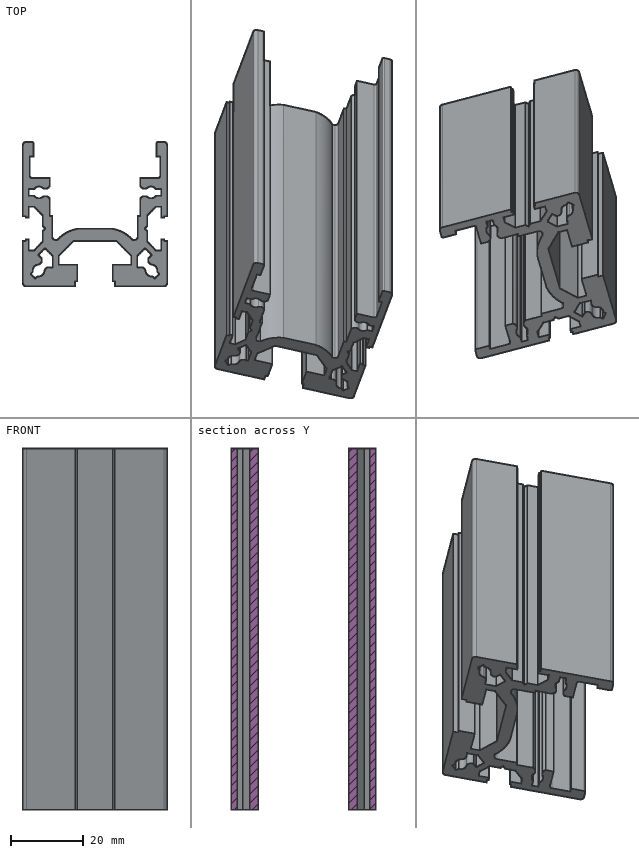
import cadquery as cq
import math

size = 40.0
length = 100.0
half = size / 2
outer_radius = 1.0

lip_width = 3.0
lip_bottom = 35.9
lip_radius = 0.5
arm_wall = 2.0
ledge_height = 30.0
ledge_fillet = 0.6
ledge_width = 7.5
step_height = 19.5
channel_wall = 8.2
channel_floor = 12.9
gutter_radius = 0.8
gutter_end = 10.4
arch_shoulder = 7.7
arch_shoulder_height = 15.0
arch_flat = 4.7
arch_top = 16.0

mouth_half = 5.5
mouth_depth = 1.4
throat_half = 4.9
flange_thickness = 6.0
slot_half = 10.0
slot_shoulder = 8.5
slot_chamfer = 4.0

side_center = 16.0
side_mouth_half = 3.4
side_mouth_depth = 0.8
side_throat_half = 3.0
side_lip = 1.7
side_half = 6.0
side_straight_half = 3.6
side_taper_start = 3.2
side_depth = 5.5
notch_depth = 0.7

port_radius = 1.6
relief_half = 0.9
neck_half = 1.0
nub_start = 0.9
neck_x = 1.7
mouth_width = 3.6
upper_port_x = 4.5
port_mouth = ledge_width - upper_port_x
upper_port_height = 26.0
upper_relief = 2.8
corner_port_offset = 4.4
corner_relief = 2.2

pocket_length = 2.6
pocket_half = 3.1
pocket_wall = 8.3
pocket_floor = 5.3


def prism(points):
    """Full-length prism over a closed outline given as (X, height) points."""
    return cq.Workplane("XY").polyline(points).close().extrude(length).translate((0, -half, 0))


def symmetric_prism(right_points):
    """Prism over an outline given by its +X half."""
    left_points = [(-x, height) for x, height in reversed(right_points)]
    return prism(right_points + left_points)


def from_left_face(points):
    """Move outlines whose first coordinate is the distance inward from the -X face."""
    return [(depth - half, height) for depth, height in points]


def rounded_bar():
    bar = cq.Workplane("XY").rect(size, size).extrude(length)
    return bar.edges("|Z").fillet(outer_radius)


def round_lips(body):
    """Round the inner top corner of each arm."""
    for x in (lip_width - half, half - lip_width):
        edge = cq.selectors.NearestToPointSelector((x, half, length / 2))
        body = body.edges(edge).fillet(lip_radius)
    return body


def channel():
    wall = half - channel_wall
    ledge = half - ledge_width
    outline = (
        cq.Workplane("XY")
        .moveTo(-arch_flat, arch_top)
        .lineTo(arch_flat, arch_top)
        .threePointArc((arch_shoulder, arch_shoulder_height), (gutter_end, channel_floor))
        .lineTo(wall - gutter_radius, channel_floor)
        .radiusArc((wall, channel_floor + gutter_radius), -gutter_radius)
    )
    right_wall = [
        (wall, step_height),
        (ledge, step_height),
        (ledge, ledge_height),
        (half - arm_wall, ledge_height),
        (half - arm_wall, lip_bottom),
        (half - lip_width, lip_bottom),
        (half - lip_width, size),
    ]
    for point in right_wall:
        outline = outline.lineTo(*point)
    for x, height in reversed(right_wall):
        outline = outline.lineTo(-x, height)
    solid = (
        outline.lineTo(-wall, channel_floor + gutter_radius)
        .radiusArc((gutter_radius - wall, channel_floor), -gutter_radius)
        .lineTo(-gutter_end, channel_floor)
        .threePointArc((-arch_shoulder, arch_shoulder_height), (-arch_flat, arch_top))
        .close()
        .extrude(length)
        .translate((0, -half, 0))
    )
    ledge_corners = [(x, ledge_height - half, length / 2) for x in (arm_wall - half, half - arm_wall)]
    for corner in ledge_corners:
        edge = cq.selectors.NearestToPointSelector(corner)
        solid = solid.edges(edge).fillet(ledge_fillet)
    return solid


def bottom_slot():
    return symmetric_prism([
        (mouth_half, 0),
        (mouth_half, mouth_depth),
        (throat_half, mouth_depth),
        (throat_half, flange_thickness),
        (slot_half, flange_thickness),
        (slot_half, slot_shoulder),
        (slot_half - slot_chamfer, slot_shoulder + slot_chamfer),
    ])


def side_slot():
    upper = [
        (0, side_mouth_half),
        (side_mouth_depth, side_mouth_half),
        (side_mouth_depth, side_throat_half),
        (side_lip, side_throat_half),
        (side_lip, side_half),
        (side_taper_start, side_half),
        (side_depth, side_straight_half),
        (side_depth, notch_depth),
        (side_depth + notch_depth, 0),
    ]
    lower = [(depth, -offset) for depth, offset in reversed(upper[:-1])]
    return prism(from_left_face([(depth, side_center + offset) for depth, offset in upper + lower]))


def screw_port(relief):
    """Port centred on the origin, opening toward +X between two rounded nubs."""
    hole = cq.Workplane("XY").circle(port_radius).extrude(length)
    nub_half = math.sqrt(port_radius**2 - nub_start**2)
    neck = (
        cq.Workplane("XY")
        .moveTo(-relief, relief_half)
        .lineTo(0, relief_half)
        .lineTo(nub_start, nub_half)
        .threePointArc((neck_x, neck_half), (port_mouth, mouth_width / 2))
        .lineTo(port_mouth, -mouth_width / 2)
        .threePointArc((neck_x, -neck_half), (nub_start, -nub_half))
        .lineTo(0, -relief_half)
        .lineTo(-relief, -relief_half)
        .close()
        .extrude(length)
    )
    return hole.union(neck)


def upper_port():
    return screw_port(upper_relief).translate((upper_port_x - half, upper_port_height - half, 0))


def place_at_corner(body):
    """Turn a body onto the section diagonal and move it to the -X, -Y corner."""
    offset = corner_port_offset - half
    return body.rotate((0, 0, 0), (0, 0, 1), 45).translate((offset, offset, 0))


def corner_port():
    pocket = (
        cq.Workplane("XY")
        .center(port_mouth + pocket_length / 2, 0)
        .rect(pocket_length, 2 * pocket_half)
        .extrude(length)
    )
    limit = prism(from_left_face([
        (0, pocket_floor),
        (pocket_wall, pocket_floor),
        (pocket_wall, half),
        (0, half),
    ]))
    return place_at_corner(screw_port(corner_relief)).union(place_at_corner(pocket).intersect(limit))


result = round_lips(rounded_bar().cut(channel())).cut(bottom_slot())
for cutter in (side_slot(), upper_port(), corner_port()):
    result = result.cut(cutter).cut(cutter.mirror("YZ"))